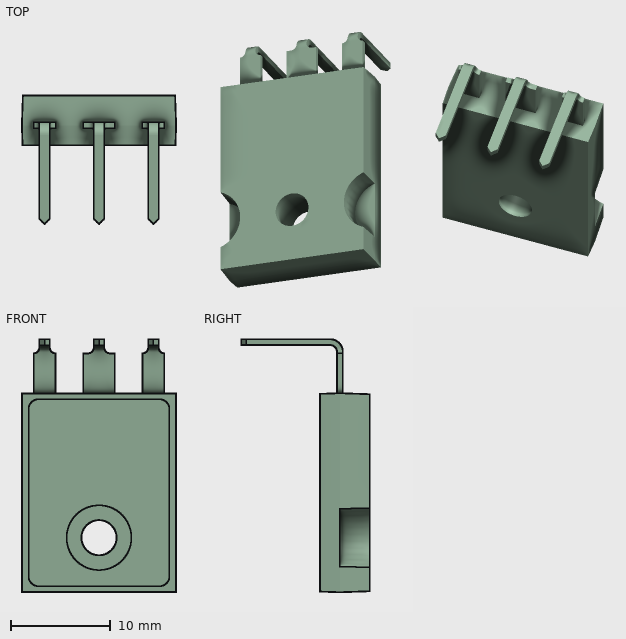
import cadquery as cq
import math

housing_width = 15.5
housing_height = 20.0
front_depth = 2.0
back_depth = 3.0
draft_angle = 2.0

hole_height = 5.49
hole_radius = 1.75
ring_radius = 3.25

notch_radius = 3.05
notch_depth = 2.1

pad_width = 14.12
pad_height = 18.75
pad_thickness = 1.0
pad_corner_radius = 1.0

overall_height = 25.4
overall_depth = 12.9
lead_pitch = 5.45
outer_lead_width = 2.2
middle_lead_width = 3.18
lead_thickness = 0.6
lead_back_y = lead_thickness / 2
lead_embedment = 1.27
bend_outer_radius = 1.3
neck_width = 1.07
shoulder_height = 23.98
shoulder_fillet = (outer_lead_width - neck_width) / 2

lead_tip_y = back_depth - overall_depth
lead_bottom = housing_height - lead_embedment
lead_specs = [
    (-lead_pitch, outer_lead_width),
    (0.0, middle_lead_width),
    (lead_pitch, outer_lead_width),
]


def xz_plane(y):
    """Workplane at depth y: local x is X, local y is Z, and the normal points to -Y."""
    return cq.Workplane("XZ", origin=(0, y, 0))


def make_lead(center_x, width):
    """Flat lead bent towards -Y, with a wide shank, a narrow neck and a pointed tip."""
    front_y = lead_back_y - lead_thickness
    bend_y = lead_back_y - bend_outer_radius
    bend_z = overall_height - bend_outer_radius
    bend_inner_radius = bend_outer_radius - lead_thickness
    diagonal = math.sqrt(0.5)
    bent_strip = (
        cq.Workplane("YZ", origin=(center_x - width / 2, 0, 0))
        .moveTo(lead_back_y, lead_bottom)
        .lineTo(lead_back_y, bend_z)
        .threePointArc(
            (bend_y + bend_outer_radius * diagonal, bend_z + bend_outer_radius * diagonal),
            (bend_y, overall_height),
        )
        .lineTo(lead_tip_y, overall_height)
        .lineTo(lead_tip_y, overall_height - lead_thickness)
        .lineTo(bend_y, overall_height - lead_thickness)
        .threePointArc(
            (bend_y + bend_inner_radius * diagonal, bend_z + bend_inner_radius * diagonal),
            (front_y, bend_z),
        )
        .lineTo(front_y, lead_bottom)
        .close()
        .extrude(width)
    )

    half_width = width / 2
    half_neck = neck_width / 2
    arc_x = half_neck + shoulder_fillet
    arc_z = shoulder_height + shoulder_fillet
    arc_mid = (arc_x - shoulder_fillet * diagonal, arc_z - shoulder_fillet * diagonal)
    half_outline = (
        xz_plane(back_depth)
        .moveTo(0, lead_bottom)
        .lineTo(half_width, lead_bottom)
        .lineTo(half_width, shoulder_height)
    )
    if half_width > arc_x:
        half_outline = half_outline.lineTo(arc_x, shoulder_height)
    half_blank = (
        half_outline
        .threePointArc(arc_mid, (half_neck, arc_z))
        .lineTo(half_neck, overall_height)
        .lineTo(0, overall_height)
        .close()
        .extrude(overall_depth)
    )
    blank = half_blank.union(half_blank.mirror("YZ")).translate((center_x, 0, 0))

    point_y = lead_tip_y + half_neck
    pointed = (
        cq.Workplane("XY", origin=(center_x, 0, lead_bottom))
        .polyline([
            (-half_width, lead_back_y),
            (-half_width, point_y),
            (-half_neck, point_y),
            (0, lead_tip_y),
            (half_neck, point_y),
            (half_width, point_y),
            (half_width, lead_back_y),
        ])
        .close()
        .extrude(overall_height - lead_bottom)
    )
    return bent_strip.intersect(blank).intersect(pointed)


def make_pad():
    """Rounded plate with a clearance hole that fits around the housing ring."""
    plate = (
        xz_plane(pad_thickness - front_depth)
        .center(0, housing_height / 2)
        .rect(pad_width, pad_height)
        .extrude(pad_thickness)
        .edges("|Y")
        .fillet(pad_corner_radius)
    )
    ring_opening = (
        xz_plane(pad_thickness - front_depth)
        .center(0, hole_height)
        .circle(ring_radius)
        .extrude(pad_thickness)
    )
    return plate.cut(ring_opening)


def housing_half(depth):
    """Drafted block from the parting plane; negative depth goes towards +Y."""
    return (
        xz_plane(0)
        .center(0, housing_height / 2)
        .rect(housing_width, housing_height)
        .extrude(depth, taper=draft_angle)
    )


def side_notch(side):
    """Drafted round cutter that widens towards the back."""
    center_x = side * (housing_width / 2 - notch_depth + notch_radius)
    return (
        xz_plane(0)
        .center(center_x, hole_height)
        .circle(notch_radius)
        .extrude(-back_depth, taper=-draft_angle)
    )


def make_housing(inserts):
    """Drafted housing with side notches, a through hole and pockets that fit the inserts."""
    body = housing_half(front_depth).union(housing_half(-back_depth))
    for side in (-1, 1):
        body = body.cut(side_notch(side))
    mounting_hole = (
        xz_plane(back_depth)
        .center(0, hole_height)
        .circle(hole_radius)
        .extrude(back_depth + front_depth)
    )
    body = body.cut(mounting_hole)
    for insert in inserts:
        body = body.cut(insert)
    return body


pad = make_pad()
leads = [make_lead(center_x, width) for center_x, width in lead_specs]
housing = make_housing([pad, *leads])

bodies = [housing, pad, *leads]
result = cq.Compound.makeCompound([body.solids().val() for body in bodies])